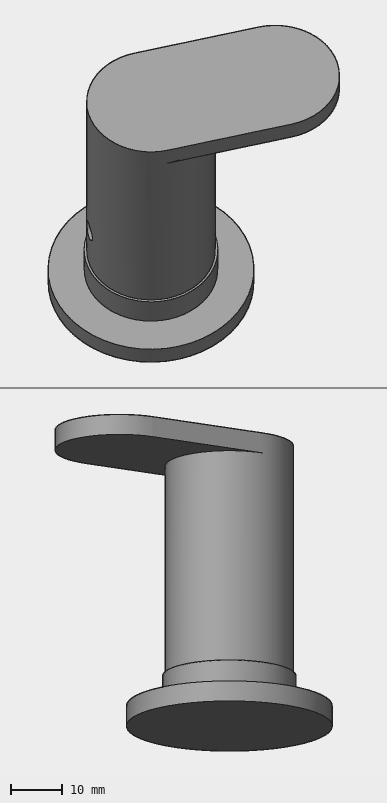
import cadquery as cq

flange_diameter = 40.0
flange_height = 4.0
collar_diameter = 26.0
collar_height = 6.0

total_height = 56.0
total_length = 57.45
post_diameter = 25.0
lever_thickness = 4.0
post_bottom = flange_height + collar_height
post_height = total_height - post_bottom
post_radius = post_diameter / 2
lever_reach = total_length - flange_diameter / 2 - post_radius

bore_diameter = 15.0
bore_height = post_height - lever_thickness

screw_hole_diameter = 4.0
screw_hole_height = 20.0


def make_rosette():
    flange = cq.Workplane("XY").circle(flange_diameter / 2).extrude(flange_height)
    return flange.faces(">Z").workplane().circle(collar_diameter / 2).extrude(collar_height)


def make_lever():
    """Flat bar with round ends, from the post axis out to the tip in +Y."""
    return (
        cq.Workplane("XY", origin=(0, lever_reach / 2, total_height - lever_thickness))
        .slot2D(lever_reach + post_diameter, post_diameter, angle=90)
        .extrude(lever_thickness)
    )


def make_bore():
    return cq.Workplane("XY", origin=(0, 0, post_bottom)).circle(bore_diameter / 2).extrude(bore_height)


def make_screw_hole():
    """Cylinder running from the post axis out through its front side."""
    return (
        cq.Workplane("XZ", origin=(0, 0, screw_hole_height))
        .circle(screw_hole_diameter / 2)
        .extrude(post_radius)
    )


def make_handle():
    post = cq.Workplane("XY", origin=(0, 0, post_bottom)).circle(post_radius).extrude(post_height)
    return post.union(make_lever()).cut(make_bore()).cut(make_screw_hole())


rosette = make_rosette()
handle = make_handle()

result = cq.Compound.makeCompound([rosette.val(), handle.val()])